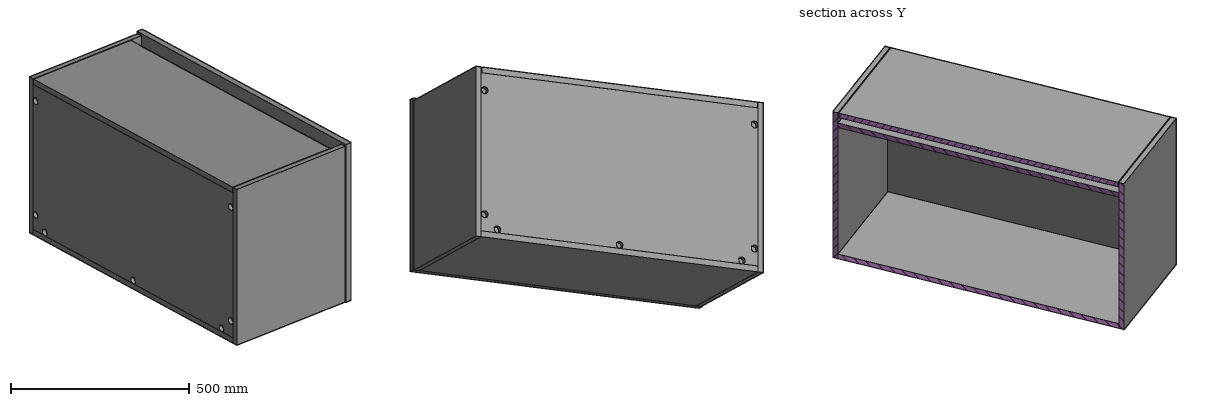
import cadquery as cq

WIDTH = 900.0
DEPTH = 420.0
HEIGHT = 500.0

FRONT_THICKNESS = 20.0
SIDE_THICKNESS = 16.0
BOARD_THICKNESS = 17.0

SIDE_INSET = 3.0
TOP_STEP = 6.0
TOP_SIDE_GAP = 2.25
GRIP_GAP = 40.5
RAIL_DROP = 34.0

BORE_DIAMETER = 20.0
BORE_DEPTH = 13.0
BORE_SIDE_DISTANCE = 11.0
BORE_BOTTOM_DISTANCE = 10.0
BORE_END_DISTANCE = 49.5
BORE_BOTTOM_SPACING = 381.0

CARCASS_WIDTH = WIDTH - 2 * SIDE_INSET
CARCASS_DEPTH = DEPTH - FRONT_THICKNESS
CARCASS_HEIGHT = HEIGHT - TOP_STEP
INNER_WIDTH = CARCASS_WIDTH - 2 * SIDE_THICKNESS
TOP_BOARD_BOTTOM = CARCASS_HEIGHT - BOARD_THICKNESS
TOP_BOARD_DEPTH = CARCASS_DEPTH - GRIP_GAP
BACK_HEIGHT = TOP_BOARD_BOTTOM - BOARD_THICKNESS
RAIL_DEPTH = 2 * GRIP_GAP


def board(width, depth, height, x=0.0, y=0.0, z=0.0):
    """Box centred on x, with its back at y and its underside at z."""
    return cq.Workplane("XY").box(width, depth, height, centered=(True, False, False)).translate((x, y, z))


def make_front_panel():
    return board(WIDTH, FRONT_THICKNESS, HEIGHT, y=CARCASS_DEPTH)


def make_side_board(side):
    """Side board; side is -1 for the -X board and +1 for the +X board."""
    x = side * (CARCASS_WIDTH - SIDE_THICKNESS) / 2
    return board(SIDE_THICKNESS, CARCASS_DEPTH, CARCASS_HEIGHT, x=x)


def make_bottom_board():
    return board(INNER_WIDTH, CARCASS_DEPTH, BOARD_THICKNESS)


def make_top_board():
    return board(INNER_WIDTH - 2 * TOP_SIDE_GAP, TOP_BOARD_DEPTH, BOARD_THICKNESS, z=TOP_BOARD_BOTTOM)


def make_rail():
    """Flat rail against the front panel, closing the finger opening and reaching under the top board."""
    z = CARCASS_HEIGHT - RAIL_DROP - BOARD_THICKNESS
    return board(INNER_WIDTH, RAIL_DEPTH, BOARD_THICKNESS, y=CARCASS_DEPTH - RAIL_DEPTH, z=z)


def make_back_board():
    """Back board with blind connector bores along its side and bottom edges."""
    back = board(INNER_WIDTH, BOARD_THICKNESS, BACK_HEIGHT, z=BOARD_THICKNESS)
    side_x = INNER_WIDTH / 2 - BORE_SIDE_DISTANCE
    side_heights = (BORE_END_DISTANCE, BACK_HEIGHT - BORE_END_DISTANCE)
    centres = [(x, z) for x in (-side_x, side_x) for z in side_heights]
    centres += [(i * BORE_BOTTOM_SPACING, BORE_BOTTOM_DISTANCE) for i in (-1, 0, 1)]
    for x, z in centres:
        bore = cq.Solid.makeCylinder(
            BORE_DIAMETER / 2,
            BORE_DEPTH,
            cq.Vector(x, 0, BOARD_THICKNESS + z),
            cq.Vector(0, 1, 0),
        )
        back = back.cut(cq.Workplane(bore))
    return back


front_panel = make_front_panel()
side_boards = [make_side_board(side) for side in (-1, 1)]
bottom_board = make_bottom_board()
top_board = make_top_board()
rail = make_rail()
back_board = make_back_board()

result = cq.Compound.makeCompound([
    front_panel.val(),
    *[side_board.val() for side_board in side_boards],
    bottom_board.val(),
    top_board.val(),
    rail.val(),
    back_board.val(),
])